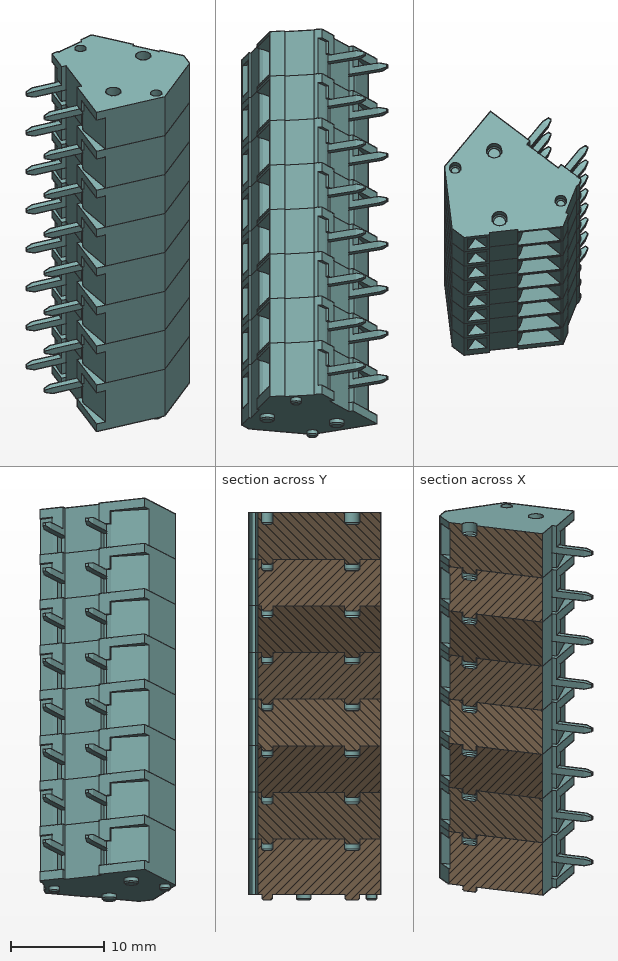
import cadquery as cq
import math

MODULE_COUNT = 8
STACK_HEIGHT = 41.6
PEG_LENGTH = 0.6
WALL = 1.0
PITCH = (STACK_HEIGHT - PEG_LENGTH - WALL) / MODULE_COUNT

WIDTH = 14.2
HEIGHT = 12.95
NOSE_Y = 5.35
CREST_X = HEIGHT - NOSE_Y
CREST_RIGHT_X = 9.2
SHOULDER_Y = HEIGHT - (WIDTH - CREST_RIGHT_X)
BAND_LOW_Y = 8.8
BAND_HIGH_Y = 11.0
BAND_SHIFT = 0.15
STEP_Y = 3.9
STEP_OUTER_X = 0.55
STEP_INNER_X = 0.75
NOSE_BEND_X = 0.4
NOSE_BEND_Y = 4.05
NOSE_BULGE = 0.02
RIB_TOP_X = 1.7
RIB_TOP_Y = 0.87
RIB_OUTER_X = 1.62
RIB_OUTER_Y = 0.62
RIB_BULGE = 0.02
FOOT_X = 1.8

MID_X = 6.65
CHANNEL_WIDTH = 4.3
CHANNEL_DEPTH = 0.5
RECESS_OFFSET = 3.4
RECESS_DEPTH = 0.3
LEFT_RECESS_SLOPE = 4.3
RIGHT_RECESS_SLOPE = 10.5
SLOT_DEPTH = 1.25

PIN_SIZE = 0.75
PIN_OFFSET = (CHANNEL_WIDTH + PIN_SIZE) / 2
PIN_LENGTH = 3.95
PIN_TIP_LENGTH = 0.8
PIN_TIP_SIZE = 0.35
PIN_TOP_DROP = 2.37
PIN_TOP_Z = PITCH - PIN_TOP_DROP

OVERHANG = 4.0
ENTRY_LOW_Y = 5.55
ENTRY_HIGH_Y = BAND_LOW_Y - BAND_SHIFT
ENTRY_BEND_Y = 8.15
ENTRY_BACK_LEAN = 20.0
ENTRY_TOP_Z = PITCH - 0.35
ENTRY_BOTTOM_Z = 0.25
ENTRY_TOP_TAPER = 25.0
ENTRY_BOTTOM_TAPER = 12.0
ENTRY_REACH = 4.15
WINDOW_LOW_Y = 11.2
WINDOW_HIGH_Y = 12.7
WINDOW_HEIGHT = 3.5

COUPLINGS = [
    ((2.0, 3.25), 1.15, 1.2),
    ((13.2, 7.35), 1.15, 1.2),
    ((5.9, 8.9), 1.6, 1.62),
    ((11.1, 3.25), 1.6, 1.62),
]
HOLE_DEPTH = 1.25
PEG_CHAMFER = 0.15


def tan(degrees):
    return math.tan(math.radians(degrees))


def face_x(y):
    """X of the 45 degree face at height y."""
    return y - NOSE_Y


def prism(points, z_low, z_high):
    """Solid with an XY outline between two Z levels."""
    return cq.Workplane("XY").workplane(offset=z_low).polyline(points).close().extrude(z_high - z_low)


def block(x_low, x_high, depth, z_low, z_high):
    """Rectangular cutter going from the mounting face into the housing."""
    return prism([(x_low, 0), (x_high, 0), (x_high, depth), (x_low, depth)], z_low, z_high)


def housing_blank(z_low):
    channel_left = MID_X - CHANNEL_WIDTH / 2
    channel_right = MID_X + CHANNEL_WIDTH / 2
    nose_curve = (
        (NOSE_BEND_X + STEP_OUTER_X) / 2 - NOSE_BULGE,
        (NOSE_BEND_Y + STEP_Y) / 2 - NOSE_BULGE,
    )
    rib_curve = (
        (RIB_TOP_X + RIB_OUTER_X) / 2 - RIB_BULGE,
        (RIB_TOP_Y + RIB_OUTER_Y) / 2 + RIB_BULGE,
    )
    outline = (
        cq.Workplane("XY").workplane(offset=z_low)
        .moveTo(FOOT_X, 0)
        .lineTo(channel_left, 0)
        .lineTo(channel_left, CHANNEL_DEPTH)
        .lineTo(channel_right, CHANNEL_DEPTH)
        .lineTo(channel_right, 0)
        .lineTo(WIDTH, 0)
        .lineTo(WIDTH, SHOULDER_Y)
        .lineTo(CREST_RIGHT_X, HEIGHT)
        .lineTo(CREST_X, HEIGHT)
        .lineTo(face_x(BAND_HIGH_Y), BAND_HIGH_Y)
        .lineTo(face_x(BAND_HIGH_Y) + BAND_SHIFT, BAND_HIGH_Y - BAND_SHIFT)
        .lineTo(face_x(BAND_LOW_Y) + BAND_SHIFT, BAND_LOW_Y - BAND_SHIFT)
        .lineTo(face_x(BAND_LOW_Y), BAND_LOW_Y)
        .lineTo(0, NOSE_Y)
        .lineTo(NOSE_BEND_X, NOSE_BEND_Y)
        .threePointArc(nose_curve, (STEP_OUTER_X, STEP_Y))
        .lineTo(STEP_INNER_X, STEP_Y)
        .lineTo(RIB_TOP_X, RIB_TOP_Y)
        .threePointArc(rib_curve, (RIB_OUTER_X, RIB_OUTER_Y))
        .close()
    )
    return outline.extrude(PITCH - z_low)


def side_recess(edge_x, end_x, slope):
    """Recess in the mounting face that deepens from edge_x to the outer side end_x."""
    end_depth = RECESS_DEPTH + abs(end_x - edge_x) * tan(slope)
    return prism([(edge_x, 0), (edge_x, RECESS_DEPTH), (end_x, end_depth), (end_x, 0)], 0, PITCH - WALL)


def pin_relief(side):
    """Shallow step and deep slot beside the channel, both below the top of the pin."""
    channel_edge = MID_X + side * CHANNEL_WIDTH / 2
    recess_edge = MID_X + side * RECESS_OFFSET
    slot_edge = channel_edge + side * PIN_SIZE
    step = block(channel_edge, recess_edge, RECESS_DEPTH, 0, PIN_TOP_Z)
    slot = block(channel_edge, slot_edge, SLOT_DEPTH, 0, PIN_TOP_Z)
    return step.union(slot)


def wire_entry():
    """Funnel into the 45 degree face: a leaning back, and side walls that taper with depth."""
    lip_x = face_x(BAND_LOW_Y) + BAND_SHIFT
    bend_x = lip_x + (ENTRY_HIGH_Y - ENTRY_BEND_Y) * tan(OVERHANG)
    back_x = bend_x + (ENTRY_BEND_Y - ENTRY_LOW_Y) * tan(ENTRY_BACK_LEAN)
    throat = prism(
        [
            (face_x(ENTRY_LOW_Y), ENTRY_LOW_Y),
            (back_x, ENTRY_LOW_Y),
            (bend_x, ENTRY_BEND_Y),
            (lip_x, ENTRY_HIGH_Y),
            (face_x(BAND_LOW_Y), BAND_LOW_Y),
        ],
        0,
        PITCH,
    )
    across = cq.Plane(origin=(0, NOSE_Y, 0), xDir=(1, -1, 0), normal=(-1, -1, 0))
    envelope = (
        cq.Workplane(across)
        .polyline(
            [
                (0, ENTRY_BOTTOM_Z),
                (ENTRY_REACH, ENTRY_BOTTOM_Z + ENTRY_REACH * tan(ENTRY_BOTTOM_TAPER)),
                (ENTRY_REACH, ENTRY_TOP_Z - ENTRY_REACH * tan(ENTRY_TOP_TAPER)),
                (0, ENTRY_TOP_Z),
            ]
        )
        .close()
        .extrude(HEIGHT, both=True)
    )
    return throat.intersect(envelope)


def test_window():
    """Window in the upper 45 degree face with a slightly overhanging back."""
    top_x = face_x(WINDOW_HIGH_Y)
    back_x = top_x + (WINDOW_HIGH_Y - WINDOW_LOW_Y) * tan(OVERHANG)
    outline = [(face_x(WINDOW_LOW_Y), WINDOW_LOW_Y), (back_x, WINDOW_LOW_Y), (top_x, WINDOW_HIGH_Y)]
    return prism(outline, (PITCH - WINDOW_HEIGHT) / 2, (PITCH + WINDOW_HEIGHT) / 2)


def plug(centre, diameter, z_top, length):
    """Cylinder hanging down from z_top with a chamfered lower end."""
    cylinder = cq.Workplane("XY").workplane(offset=z_top - length).center(*centre).circle(diameter / 2)
    return cylinder.extrude(length).faces("<Z").chamfer(PEG_CHAMFER)


def pin(side):
    """Square pin rooted at the slot floor, with a tapered tip."""
    shank_end = PIN_LENGTH - PIN_TIP_LENGTH
    centre = (MID_X + side * PIN_OFFSET, PIN_TOP_Z - PIN_SIZE / 2)
    shank = (
        cq.Workplane("XZ").workplane(offset=-SLOT_DEPTH).center(*centre)
        .rect(PIN_SIZE, PIN_SIZE).extrude(SLOT_DEPTH + shank_end)
    )
    tip = (
        cq.Workplane("XZ").workplane(offset=shank_end).center(*centre)
        .rect(PIN_SIZE, PIN_SIZE)
        .workplane(offset=PIN_TIP_LENGTH)
        .rect(PIN_TIP_SIZE, PIN_TIP_SIZE).loft(ruled=True)
    )
    return shank.union(tip)


def terminal_module(bottom_z):
    """One module from local Z = bottom_z up to PITCH, in one piece with its pins and pegs."""
    module = housing_blank(bottom_z)
    module = module.cut(side_recess(MID_X - RECESS_OFFSET, 0, LEFT_RECESS_SLOPE))
    module = module.cut(side_recess(MID_X + RECESS_OFFSET, WIDTH, RIGHT_RECESS_SLOPE))
    module = module.cut(wire_entry()).cut(test_window())
    for side in (-1, 1):
        module = module.cut(pin_relief(side)).union(pin(side))
    for centre, peg_diameter, hole_diameter in COUPLINGS:
        module = module.cut(plug(centre, hole_diameter, PITCH, HOLE_DEPTH))
        module = module.union(plug(centre, peg_diameter, bottom_z, PEG_LENGTH))
    return module


end_module = terminal_module(-WALL)
plain_module = terminal_module(0)
stack = [end_module.val()]
for level in range(1, MODULE_COUNT):
    stack.append(plain_module.translate((0, 0, level * PITCH)).val())

result = cq.Compound.makeCompound(stack)